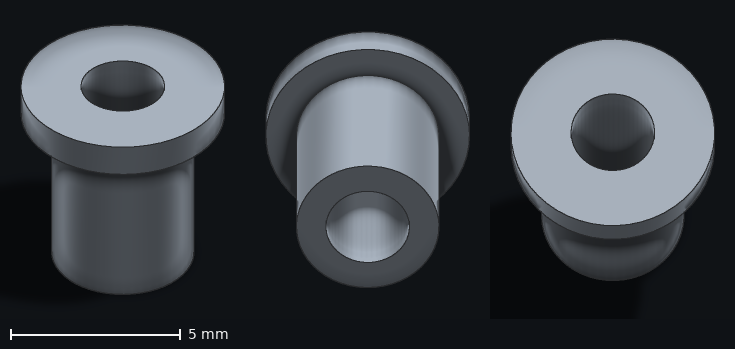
import cadquery as cq

total_height = 6.1
flange_diameter = 6.0
flange_thickness = 1.0
sleeve_diameter = 4.2
bore_diameter = 2.46

sleeve_height = total_height - flange_thickness

sleeve = cq.Workplane("XY").circle(sleeve_diameter / 2).extrude(sleeve_height)

flange = (
    cq.Workplane("XY")
    .workplane(offset=sleeve_height)
    .circle(flange_diameter / 2)
    .extrude(flange_thickness)
)

bore = cq.Workplane("XY").circle(bore_diameter / 2).extrude(total_height)

result = sleeve.union(flange).cut(bore)